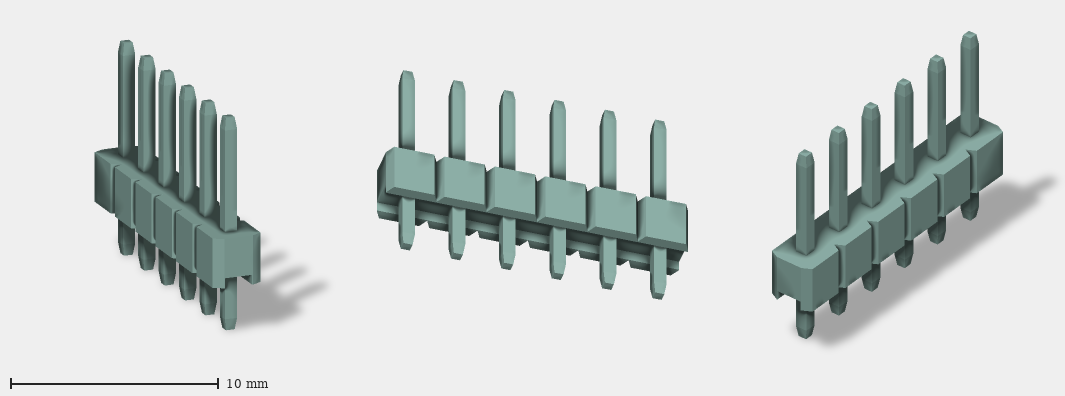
import cadquery as cq


pin_count = 6
row_length = 15.24
body_depth = 2.5
body_height = 2.5

notch_half_width = 0.26
notch_depth = 0.5

channel_width = 1.42
channel_depth = 0.5

pin_width = 0.64
pin_length = 10.75
pin_below_body = 2.5
tip_length = 0.6
tip_width = 0.45

pitch = row_length / pin_count
pin_shaft_length = pin_length - 2 * tip_length
shaft_bottom = tip_length - pin_below_body
shaft_top = shaft_bottom + pin_shaft_length


def cell_center(index):
    """X position of one cell and its pin."""
    return (index - (pin_count - 1) / 2) * pitch


def make_cell(center_x):
    """One octagonal cell of the body; touching cells leave the V cuts between them."""
    half_pitch = pitch / 2
    half_depth = body_depth / 2
    flat_x = half_pitch - notch_half_width
    flat_y = half_depth - notch_depth
    outline = [
        (-flat_x, -half_depth),
        (flat_x, -half_depth),
        (half_pitch, -flat_y),
        (half_pitch, flat_y),
        (flat_x, half_depth),
        (-flat_x, half_depth),
        (-half_pitch, flat_y),
        (-half_pitch, -flat_y),
    ]
    return cq.Workplane("XY").center(center_x, 0).polyline(outline).close().extrude(body_height)


def make_channel():
    """Cutter for the channel that runs the full length of the underside."""
    return cq.Workplane("XY").box(row_length, channel_width, channel_depth, centered=(True, True, False))


def make_tip(center_x, base_z, direction):
    """Tapered pin end from base_z, pointing up (direction 1) or down (direction -1)."""
    return (
        cq.Workplane("XY", origin=(center_x, 0, base_z))
        .rect(pin_width, pin_width)
        .workplane(offset=direction * tip_length)
        .rect(tip_width, tip_width)
        .loft(combine=True)
    )


def make_pin(center_x):
    """Square pin with a tapered tip at both ends."""
    shaft = (
        cq.Workplane("XY", origin=(center_x, 0, shaft_bottom))
        .rect(pin_width, pin_width)
        .extrude(pin_shaft_length)
    )
    upper_tip = make_tip(center_x, shaft_top, 1)
    lower_tip = make_tip(center_x, shaft_bottom, -1)
    return shaft.union(upper_tip).union(lower_tip)


centers = [cell_center(index) for index in range(pin_count)]

body = make_cell(centers[0])
for center_x in centers[1:]:
    body = body.union(make_cell(center_x))
body = body.cut(make_channel())

result = body
for center_x in centers:
    result = result.union(make_pin(center_x))